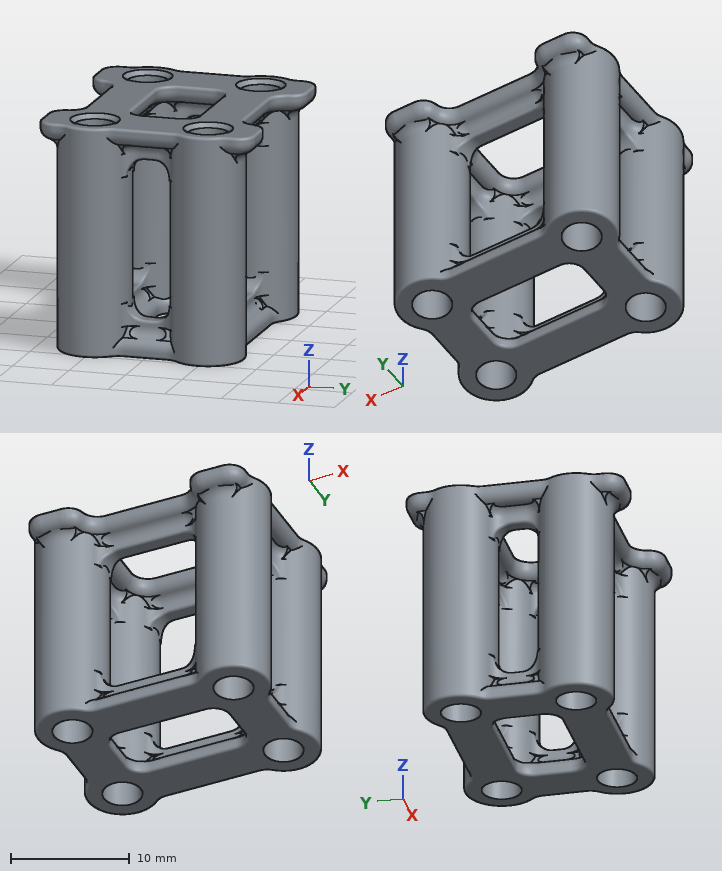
import cadquery as cq
import math

height = 20.0
tower_radius = 3.198
tower_x = 7.497
tower_y = tower_x * 2 / 3
bore_radius = 3.4 / 2
bore_chamfer = 0.4

wall_half = 0.75
window_sill = 3.0
window_inset = 3.1

flange_half = 2.0
top_end_flange_half = 2.5
pad_half = top_end_flange_half
pad_reach = 9.45
rim_height = 0.6

plan_radius = 1.5
blend_radius = 1.0
edge_round = 0.25

plate_thickness = rim_height + blend_radius
overhang = flange_half - wall_half
blend_rise = math.sqrt((2 * blend_radius) ** 2 - (2 * blend_radius - overhang) ** 2)
blend_end = rim_height + blend_rise
blend_base = blend_end - blend_radius
blend_taper = math.degrees(math.atan(overhang / blend_rise))

column_height = height - 2 * rim_height
window_height = height - 2 * window_sill
gap_start = window_sill + plan_radius
gap_height = height - 2 * gap_start
tower_centres = [(sx * tower_x, sy * tower_y) for sx in (-1, 1) for sy in (-1, 1)]


def block(half_x, half_y, depth, base=0):
    return cq.Workplane("XY", origin=(0, 0, base)).rect(2 * half_x, 2 * half_y).extrude(depth)


def towers(depth, base=0):
    plane = cq.Workplane("XY", origin=(0, 0, base))
    return plane.pushPoints(tower_centres).circle(tower_radius).extrude(depth)


def rounded_outline(solid):
    """Outer outline of a prism's base with all its plan corners rounded.

    Shrinking and regrowing rounds the convex corners, growing and shrinking the concave ones.
    """
    wire = solid.faces("<Z").val().outerWire()
    for step in (-plan_radius, plan_radius, plan_radius, -plan_radius):
        wire = wire.offset2D(step, "arc")[0]
    return wire


def prism(wire, depth, taper=0):
    return cq.Workplane("XY").add(wire).toPending().extrude(depth, taper=taper)


def ring(outlines, depth, taper=0):
    """Prism between an outer and an inner outline; a taper narrows it upwards."""
    outer, inner = outlines
    return prism(outer, depth, taper).cut(prism(inner, depth, -taper))


def core_outlines():
    """Outer and inner outline of the towers and the walls between them."""
    shape = towers(0.21).union(block(tower_x, tower_y + wall_half, 0.21))
    shape = shape.union(block(tower_x + wall_half, tower_y, 0.21))
    hole = block(tower_x - wall_half, tower_y - wall_half, 0.21).cut(towers(0.21))
    return rounded_outline(shape), rounded_outline(hole)


def flange_outlines(end_half, with_pads):
    """Outer and inner outline of a flange; end_half is its half width along the X ends."""
    shape = towers(0.21).union(block(tower_x, tower_y + flange_half, 0.21))
    shape = shape.union(block(tower_x + end_half, tower_y, 0.21))
    if with_pads:
        for side in (-1, 1):
            pads = block(pad_half, pad_reach, 0.21)
            shape = shape.union(pads.translate((side * tower_x, 0, 0)))
    hole = block(tower_x - end_half, tower_y - flange_half, 0.21)
    return rounded_outline(shape), rounded_outline(hole)


def flange(outlines):
    """Flange standing on Z = 0, rounded over above and blended into the walls and towers."""
    plate = ring(outlines, plate_thickness).faces(">Z").edges().fillet(blend_radius)
    foot = block(2 * tower_x, 2 * tower_y, blend_base).union(ring(core_outlines(), height))
    foot = foot.faces(">Z[-2]").edges("not(<X or >X or <Y or >Y)").fillet(blend_radius)
    slope = ring(outlines, blend_rise, blend_taper).translate((0, 0, rim_height))
    return plate.union(foot.intersect(slope))


def window(half_width, plane, normal):
    """Round-cornered tool that opens both walls facing along the normal."""
    profile = cq.Workplane(plane).center(0, height / 2).rect(2 * half_width, window_height)
    tool = profile.extrude(2 * tower_x, both=True)
    return tool.edges("|" + normal).fillet(plan_radius)


def sills():
    """Wall parts below and above the windows, with rounded window edges."""
    walls = ring(core_outlines(), height - 2 * blend_end).translate((0, 0, blend_end))
    walls = walls.cut(window(tower_x - window_inset, "XZ", "Y"))
    walls = walls.cut(window(tower_y - window_inset, "YZ", "X"))
    walls = walls.edges("not(<Z or >Z or |Z)").fillet(edge_round)
    return walls.cut(block(2 * tower_x, 2 * tower_y, gap_height, gap_start))


bottom_flange = flange(flange_outlines(flange_half, with_pads=False))
top_flange = flange(flange_outlines(top_end_flange_half, with_pads=True))
top_flange = top_flange.mirror("XY").translate((0, 0, height))
body = bottom_flange.union(top_flange).union(sills()).union(towers(column_height, rim_height))
quadrant = block(tower_x, tower_x, height).translate((-tower_x, -tower_x, 0))
half = body.intersect(quadrant)
half = half.union(half.mirror("YZ"))
body = half.union(half.mirror("XZ"))
body = body.faces("<Z or >Z").edges().fillet(edge_round)

bores = cq.Workplane("XY").pushPoints(tower_centres).circle(bore_radius).extrude(height)
bore_mouths = cq.Workplane("XY", origin=(0, 0, height)).pushPoints(tower_centres)
bore_mouths = bore_mouths.circle(bore_radius + bore_chamfer).extrude(-bore_chamfer, taper=45)
result = body.cut(bores).cut(bore_mouths)